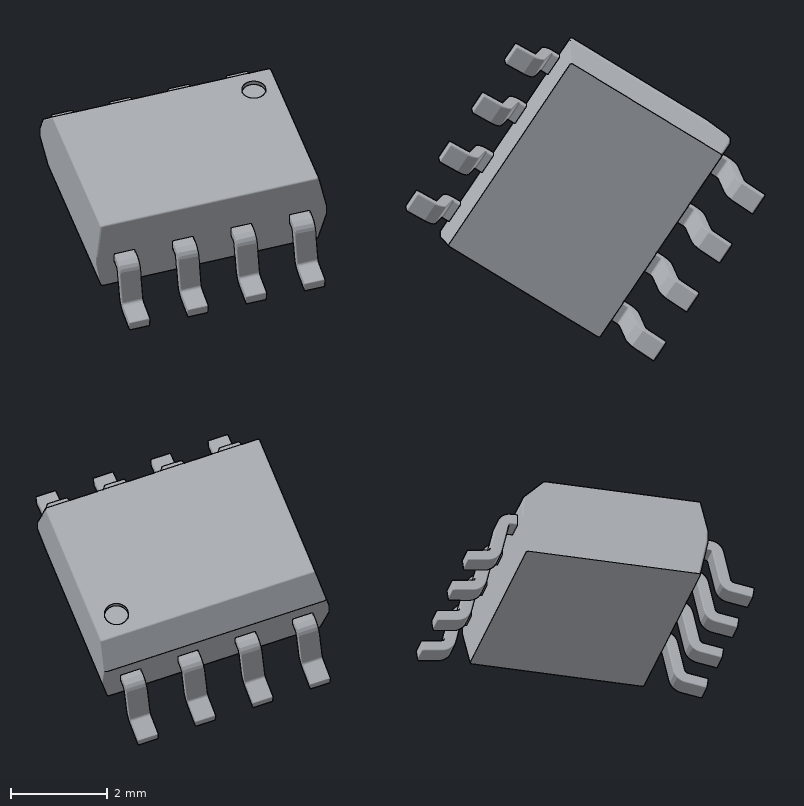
import cadquery as cq
import math

overall_length = 6.16
body_length = 4.0
body_width = 5.0
body_height = 1.75
body_top = 2.0
draft_angle = 10.0
edge_radius = 0.05

bevel_height = 0.49
bevel_run = 0.46

dimple_diameter = 0.5
dimple_depth = 0.1
dimple_x = -1.0
dimple_y = 1.85

lead_thickness = 0.25
lead_width = 0.45
lead_pitch = 1.27
leads_per_side = 4
shoulder_length = 0.135
upper_bend_radius = 0.17
lower_bend_radius = 0.21
leg_angle = 77.0
foot_angle = 8.5
lead_edge_radius = 0.03

body_bottom = body_top - body_height
body_half_length = body_length / 2
band_middle = (body_bottom + body_top) / 2
band_top = band_middle + lead_thickness / 2
band_bottom = band_middle - lead_thickness / 2


def make_body():
    band = (
        cq.Workplane("XY", origin=(0, 0, band_bottom))
        .rect(body_length, body_width)
        .extrude(lead_thickness)
    )
    upper = (
        cq.Workplane("XY", origin=(0, 0, band_top))
        .rect(body_length, body_width)
        .extrude(body_top - band_top, taper=draft_angle)
    )
    lower = upper.mirror("XY", (0, 0, band_middle))
    body = band.union(upper).union(lower)

    draft_slope = math.tan(math.radians(draft_angle))
    bevel_bottom = body_top - bevel_height
    bevel_foot_x = -body_half_length + (bevel_bottom - band_top) * draft_slope
    wedge = (
        cq.Workplane("XZ")
        .moveTo(bevel_foot_x, bevel_bottom)
        .lineTo(bevel_foot_x + bevel_run, body_top)
        .lineTo(bevel_foot_x, body_top)
        .close()
        .extrude(body_width / 2, both=True)
    )
    body = body.cut(wedge)

    corner_edges = body.edges("not #Z")
    rim = body.faces(">Z").edges()
    body = corner_edges.add(rim).fillet(edge_radius)

    dimple = (
        cq.Workplane("XY", origin=(dimple_x, dimple_y, body_top - dimple_depth))
        .circle(dimple_diameter / 2)
        .extrude(dimple_depth)
    )
    return body.cut(dimple)


def make_lead(y):
    """Gull-wing lead on the +X side, swept along its centreline."""
    leg = math.radians(leg_angle)
    foot = math.radians(foot_angle)

    corner_loss = lead_edge_radius * (math.cos(foot) + math.sin(foot) - 1)
    tip_x = overall_length / 2 + corner_loss - lead_thickness / 2 * math.sin(foot)
    tip_z = lead_thickness / 2 * math.cos(foot) - corner_loss

    shoulder_end = body_half_length + shoulder_length
    upper_setback = upper_bend_radius * math.tan(leg / 2)
    lower_setback = lower_bend_radius * math.tan((leg - foot) / 2)
    knee_x = shoulder_end + upper_setback
    drop = band_middle - tip_z
    foot_slope = math.tan(foot)
    leg_run = (drop - foot_slope * (tip_x - knee_x)) / (math.tan(leg) - foot_slope)
    ankle_x = knee_x + leg_run
    ankle_z = band_middle - leg_run * math.tan(leg)

    leg_x, leg_z = math.cos(leg), -math.sin(leg)
    foot_x, foot_z = math.cos(foot), -math.sin(foot)
    path = (
        cq.Workplane("XZ", origin=(0, y, 0))
        .moveTo(body_half_length, band_middle)
        .lineTo(shoulder_end, band_middle)
        .tangentArcPoint(
            (knee_x + upper_setback * leg_x, band_middle + upper_setback * leg_z), relative=False
        )
        .lineTo(ankle_x - lower_setback * leg_x, ankle_z - lower_setback * leg_z)
        .tangentArcPoint(
            (ankle_x + lower_setback * foot_x, ankle_z + lower_setback * foot_z), relative=False
        )
        .lineTo(tip_x, tip_z)
    )
    lead = (
        cq.Workplane("YZ", origin=(body_half_length, y, band_middle))
        .rect(lead_width, lead_thickness)
        .sweep(path)
    )

    long_edges = lead.edges("|X")
    tip_edges = lead.faces(">X").edges()
    return long_edges.add(tip_edges).fillet(lead_edge_radius)


body = make_body()
leads = []
for i in range(leads_per_side):
    lead_y = (i - (leads_per_side - 1) / 2) * lead_pitch
    lead = make_lead(lead_y)
    leads.append(lead.val())
    leads.append(lead.mirror("YZ").val())

result = cq.Compound.makeCompound([body.val(), *leads])